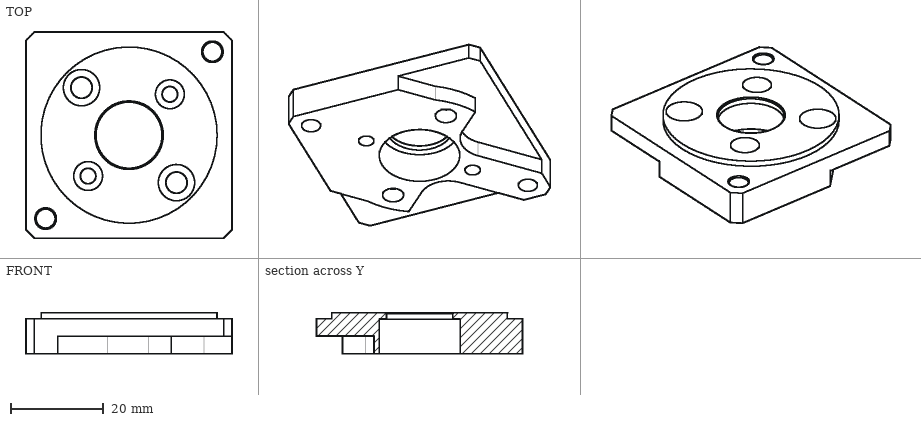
import cadquery as cq

side = 44.45
corner_chamfer = 1.85
height = 8.9
base_height = 3.82
flange_top = 7.6

pilot_radius = 19.0

rib_width = 9.8
base_width = 37.0
base_rear_edge = -5.3
rib_fillet = 6.25
reach = side

lip_radius = 7.1
lip_chamfer = 0.25
lip_bottom = 7.45
bore_radius = 8.65

large_offset = 10.22
large_hole_radius = 2.25
large_counterbore_radius = 3.9
large_counterbore_depth = 5.35
small_offset = 8.8
small_hole_radius = 1.65
small_counterbore_radius = 3.1
small_counterbore_depth = 5.35
corner_offset = 17.95
corner_hole_radius = 2.05
corner_hole_chamfer = 0.25


def cylinder(radius, bottom, top, x=0, y=0):
    return cq.Workplane("XY", origin=(x, y, bottom)).circle(radius).extrude(top - bottom)


def flange_block(bottom, top):
    block = cq.Workplane("XY", origin=(0, 0, bottom)).rect(side, side).extrude(top - bottom)
    return block.edges("|Z").chamfer(corner_chamfer)


def base_slab(start, end, width):
    """Slab as tall as the base, centred on the local X axis from start to end."""
    slab = cq.Workplane("XY").box(end - start, width, base_height, centered=(False, True, False))
    return slab.translate((start, 0, 0))


def make_base():
    body = cylinder(pilot_radius, 0, base_height)
    body = body.intersect(base_slab(base_rear_edge, reach, 2 * reach))
    body = body.union(base_slab(0, reach, base_width))
    body = body.union(base_slab(-reach, reach, rib_width))
    margin = 0.45
    inner_corners = cq.selectors.BoxSelector(
        (base_rear_edge - margin, -rib_width / 2 - margin, 0),
        (base_rear_edge + margin, rib_width / 2 + margin, base_height),
    )
    body = body.edges("|Z").edges(inner_corners).fillet(rib_fillet)
    body = body.rotate((0, 0, 0), (0, 0, 1), 45)
    return body.intersect(flange_block(0, base_height))


def counterbored_hole(x, y, hole_radius, counterbore_radius, depth):
    through = cylinder(hole_radius, 0, height, x, y)
    return through.union(cylinder(counterbore_radius, height - depth, height, x, y))


def chamfered_hole(radius, chamfer, top, x=0, y=0):
    """Through hole with a 45 degree chamfer around its mouth at the given top height."""
    through = cylinder(radius, 0, top, x, y)
    mouth = cq.Solid.makeCone(radius, radius + chamfer, chamfer, pnt=cq.Vector(x, y, top - chamfer))
    return through.union(cq.Workplane(mouth))


result = make_base().union(flange_block(base_height, flange_top))
result = result.union(cylinder(pilot_radius, flange_top, height))
result = result.cut(chamfered_hole(lip_radius, lip_chamfer, height))
result = result.cut(cylinder(bore_radius, 0, lip_bottom))

for sign in (-1, 1):
    result = result.cut(
        counterbored_hole(
            sign * large_offset, -sign * large_offset,
            large_hole_radius, large_counterbore_radius, large_counterbore_depth,
        )
    )
    result = result.cut(
        counterbored_hole(
            sign * small_offset, sign * small_offset,
            small_hole_radius, small_counterbore_radius, small_counterbore_depth,
        )
    )
    result = result.cut(
        chamfered_hole(
            corner_hole_radius, corner_hole_chamfer, flange_top,
            sign * corner_offset, sign * corner_offset,
        )
    )